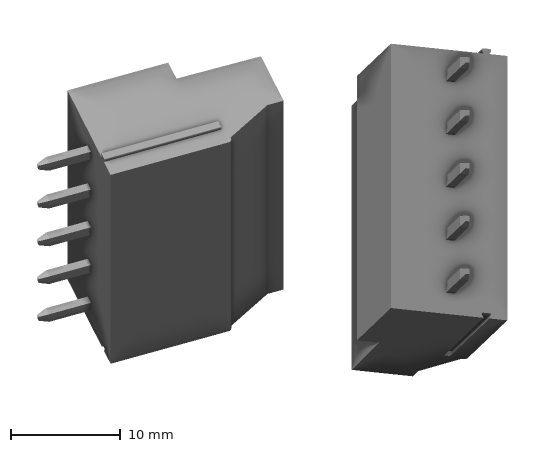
import cadquery as cq


WAYS = 5
HEIGHT = 25.4
PITCH = HEIGHT / WAYS
WIDTH = 11.2
DEPTH = 18.0
STEP_WIDTH = 2.12
STEP_DEPTH = 9.82
WALL_TAPER = 0.1
BACK_RIGHT = 8.1
SLOPE_BACK_DEPTH = 16.42
SLOPE_FRONT_X = 10.7
SHOULDER_DEPTH = 11.85
SHOULDER_RADIUS = 0.35

RAIL_HEIGHT = 0.5
RAIL_CENTER = 9.2
RAIL_HEAD_WIDTH = 0.88
RAIL_NECK_WIDTH = 0.55
RAIL_HEAD_HEIGHT = 0.2
RAIL_LENGTH = 11.37
RAIL_ROUNDING = 0.1

PIN_CENTER = 5.7
PIN_WIDTH = 0.83
PIN_HEIGHT = 1.0
PIN_LENGTH = 5.0
TIP_LENGTH = 0.93
TIP_WIDTH = 0.34
TIP_HEIGHT = 0.52

BUMP_CENTER = 3.45
BUMP_RADIUS = 0.45
BUMP_RISE = 0.4
BUMP_BOUNDARIES = (1, 2, 4)


def make_housing():
    return (
        cq.Workplane("XY")
        .moveTo(0, 0)
        .lineTo(WIDTH, 0)
        .lineTo(WIDTH, SHOULDER_DEPTH - SHOULDER_RADIUS)
        .radiusArc((WIDTH - SHOULDER_RADIUS, SHOULDER_DEPTH), -SHOULDER_RADIUS)
        .lineTo(SLOPE_FRONT_X, SHOULDER_DEPTH)
        .lineTo(BACK_RIGHT, SLOPE_BACK_DEPTH)
        .lineTo(BACK_RIGHT, DEPTH)
        .lineTo(STEP_WIDTH + WALL_TAPER, DEPTH)
        .lineTo(STEP_WIDTH, STEP_DEPTH)
        .lineTo(0, STEP_DEPTH)
        .close()
        .extrude(HEIGHT)
    )


def make_dovetail(base_z):
    """Dovetail bar running back from the front face, widening upward from base_z."""
    head_z = base_z + RAIL_HEIGHT - RAIL_HEAD_HEIGHT
    top_z = base_z + RAIL_HEIGHT
    neck = RAIL_NECK_WIDTH / 2
    head = RAIL_HEAD_WIDTH / 2
    return (
        cq.Workplane("XZ")
        .polyline([
            (RAIL_CENTER - neck, base_z),
            (RAIL_CENTER + neck, base_z),
            (RAIL_CENTER + head, head_z),
            (RAIL_CENTER + head, top_z),
            (RAIL_CENTER - head, top_z),
            (RAIL_CENTER - head, head_z),
        ])
        .close()
        .extrude(-RAIL_LENGTH)
        .edges("|Y and >Z")
        .fillet(RAIL_ROUNDING)
    )


def make_pin(center_z):
    """Rectangular pin standing out of the front face, with a tapered tip."""
    shank_length = PIN_LENGTH - TIP_LENGTH
    shank = (
        cq.Workplane("XZ")
        .center(PIN_CENTER, center_z)
        .rect(PIN_WIDTH, PIN_HEIGHT)
        .extrude(shank_length)
    )
    tip = (
        cq.Workplane("XZ", origin=(0, -shank_length, 0))
        .center(PIN_CENTER, center_z)
        .rect(PIN_WIDTH, PIN_HEIGHT)
        .workplane(offset=TIP_LENGTH)
        .rect(TIP_WIDTH, TIP_HEIGHT)
        .loft(ruled=True)
    )
    return shank.union(tip)


def make_bump(center_z):
    """Ball partly sunk in the back face, so that a cap of the given rise stands out."""
    ball_radius = (BUMP_RADIUS**2 + BUMP_RISE**2) / (2 * BUMP_RISE)
    center_y = DEPTH + BUMP_RISE - ball_radius
    return cq.Workplane("XY").sphere(ball_radius).translate((BUMP_CENTER, center_y, center_z))


result = make_housing().union(make_dovetail(HEIGHT)).cut(make_dovetail(0))

for way in range(WAYS):
    result = result.union(make_pin((way + 0.5) * PITCH))

for boundary in BUMP_BOUNDARIES:
    result = result.union(make_bump(boundary * PITCH))